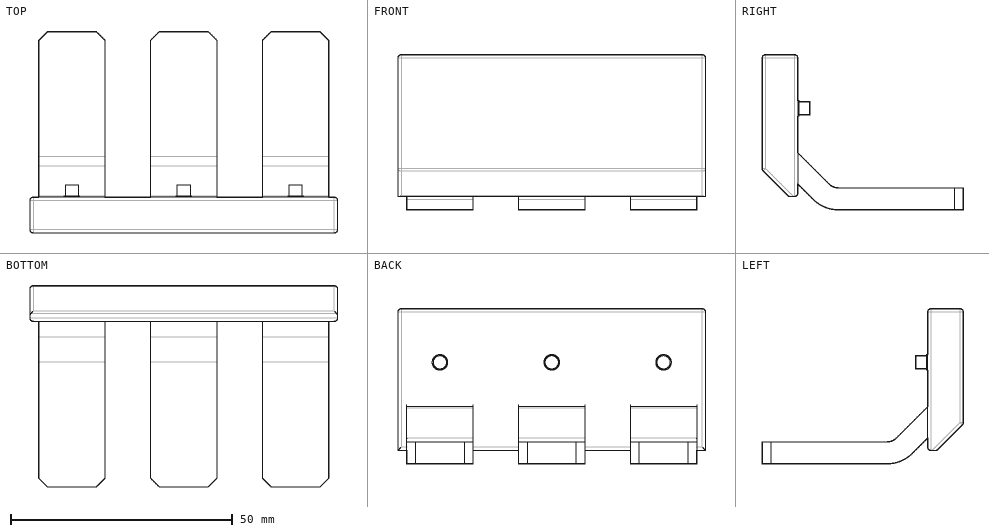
import cadquery as cq
import math

COVER_WIDTH = 69.4
COVER_DEPTH = 8.1
COVER_BOTTOM = 3.0
COVER_TOP = 35.0
COVER_CHAMFER = 6.0
COVER_FILLET = 0.8

PIN_HEIGHT = 22.9
PIN_DIAMETER = 3.0
PIN_REACH = 2.7
COLLAR_DIAMETER = 3.5
COLLAR_REACH = 0.25

LEG_COUNT = 3
LEG_PITCH = 25.2
LEG_WIDTH = 15.0
LEG_TIP_Y = 45.4
LEG_TIP_CHAMFER = 2.0
BAR_THICKNESS = 5.0
BAR_BACK_Y = 7.5
BAR_TOP_WALL = 2.0
INNER_RADIUS = 3.0
LOWER_BEND_Y = 17.2

OUTER_RADIUS = INNER_RADIUS + BAR_THICKNESS
BAR_WIDTH = (LEG_COUNT - 1) * LEG_PITCH + LEG_WIDTH
BAR_TOP = COVER_TOP - BAR_TOP_WALL

LOWER_BEND = (LOWER_BEND_Y, OUTER_RADIUS)
UPPER_BEND_Y = BAR_BACK_Y + INNER_RADIUS
UPPER_BEND = (UPPER_BEND_Y, OUTER_RADIUS + LOWER_BEND_Y - UPPER_BEND_Y)

TOWARD_BAR = 180.0
TOWARD_SLOPE = 225.0
TOWARD_TIP = 270.0

LEG_CENTERS = [(i - (LEG_COUNT - 1) / 2) * LEG_PITCH for i in range(LEG_COUNT)]


def on_bend(center, radius, angle):
    """Point (Y, Z) on a bend at the given angle."""
    turn = math.radians(angle)
    return (center[0] + radius * math.cos(turn), center[1] + radius * math.sin(turn))


def add_bend(sketch, center, radius, start, end):
    """Line to the start of a bend, then follow its arc to the end."""
    middle = (start + end) / 2
    return sketch.lineTo(*on_bend(center, radius, start)).threePointArc(
        on_bend(center, radius, middle), on_bend(center, radius, end)
    )


def make_leg(center_x):
    """One bent leg with its upright part and a chamfered tip."""
    sketch = cq.Workplane("YZ").moveTo(LEG_TIP_Y, 0)
    sketch = add_bend(sketch, LOWER_BEND, OUTER_RADIUS, TOWARD_TIP, TOWARD_SLOPE)
    sketch = add_bend(sketch, UPPER_BEND, OUTER_RADIUS, TOWARD_SLOPE, TOWARD_BAR)
    sketch = sketch.lineTo(BAR_BACK_Y - BAR_THICKNESS, BAR_TOP).lineTo(BAR_BACK_Y, BAR_TOP)
    sketch = add_bend(sketch, UPPER_BEND, INNER_RADIUS, TOWARD_BAR, TOWARD_SLOPE)
    sketch = add_bend(sketch, LOWER_BEND, INNER_RADIUS, TOWARD_SLOPE, TOWARD_TIP)
    leg = sketch.lineTo(LEG_TIP_Y, BAR_THICKNESS).close().extrude(LEG_WIDTH / 2, both=True)
    leg = leg.faces(">Y").edges("|Z").chamfer(LEG_TIP_CHAMFER)
    return leg.translate((center_x, 0, 0))


def make_busbar():
    """Three legs joined by the upright bar above the upper bend."""
    busbar = (
        cq.Workplane("YZ")
        .moveTo(BAR_BACK_Y - BAR_THICKNESS, UPPER_BEND[1])
        .lineTo(BAR_BACK_Y, UPPER_BEND[1])
        .lineTo(BAR_BACK_Y, BAR_TOP)
        .lineTo(BAR_BACK_Y - BAR_THICKNESS, BAR_TOP)
        .close()
        .extrude(BAR_WIDTH / 2, both=True)
    )
    for center_x in LEG_CENTERS:
        busbar = busbar.union(make_leg(center_x))
    return busbar


def make_pin(center_x, diameter, reach):
    """Round pin standing on the back face of the cover."""
    return (
        cq.Workplane("XZ", origin=(center_x, COVER_DEPTH, PIN_HEIGHT))
        .circle(diameter / 2)
        .extrude(-reach)
    )


def make_cover(busbar):
    """Rounded block with a bevelled foot, a cavity for the busbar and three pins."""
    cover = (
        cq.Workplane("YZ")
        .moveTo(0, COVER_TOP)
        .lineTo(COVER_DEPTH, COVER_TOP)
        .lineTo(COVER_DEPTH, COVER_BOTTOM)
        .lineTo(COVER_CHAMFER, COVER_BOTTOM)
        .lineTo(0, COVER_BOTTOM + COVER_CHAMFER)
        .close()
        .extrude(COVER_WIDTH / 2, both=True)
    )
    underside_ends = cover.faces("<Z").edges("|Y").vals()
    rounded_edges = [
        edge for edge in cover.edges().vals()
        if not any(edge.isSame(other) for other in underside_ends)
    ]
    cover = cover.newObject(rounded_edges).fillet(COVER_FILLET)
    cover = cover.cut(busbar)
    for center_x in LEG_CENTERS:
        cover = cover.union(make_pin(center_x, COLLAR_DIAMETER, COLLAR_REACH))
        cover = cover.union(make_pin(center_x, PIN_DIAMETER, PIN_REACH))
    return cover


busbar = make_busbar()
cover = make_cover(busbar)

result = cq.Compound.makeCompound([cover.val(), busbar.val()])